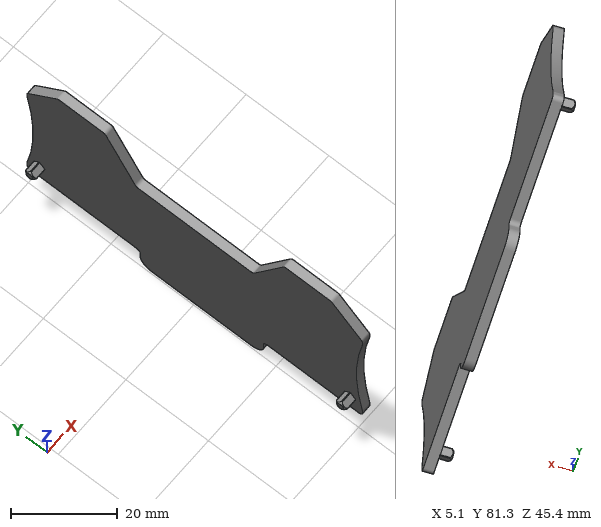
import cadquery as cq

length = 81.3
height = 45.4
thickness = 2.2
half_length = length / 2
corner_radius = 1.0

tab_left_width = 13.25
tab_right_width = 16.7
tab_height = 5.4
tab_corner_radius = 3.0

notch_floor_half_width = 14.15
notch_top_half_width = 21.7
notch_floor_z = 32.3
corner_chamfer = 7.6

waist_depth = 1.5
waist_center_z = 21.95
waist_half_height = 14.55

pin_length = 2.9
pin_side = 2.0
pin_round_diameter = 2.7
pin_tip_chamfer = 0.5
pin_y = 37.65
pin_z = 10.2


def half_plate(tab_width):
    """Half of the plate on the +Y side, with a tab reaching out to tab_width."""
    outline = (
        cq.Workplane("YZ")
        .lineTo(tab_width, 0)
        .lineTo(tab_width, tab_height)
        .lineTo(half_length, tab_height)
        .lineTo(half_length, waist_center_z - waist_half_height)
        .threePointArc(
            (half_length - waist_depth, waist_center_z),
            (half_length, waist_center_z + waist_half_height),
        )
        .lineTo(half_length, height - corner_chamfer)
        .lineTo(half_length - corner_chamfer, height)
        .lineTo(notch_top_half_width, height)
        .lineTo(notch_floor_half_width, notch_floor_z)
        .lineTo(0, notch_floor_z)
        .close()
    )
    plate = outline.extrude(thickness)
    plate = round_corner(plate, tab_width, 0, tab_corner_radius)
    small_corners = [
        (tab_width, tab_height),
        (half_length, tab_height),
        (half_length, height - corner_chamfer),
        (half_length - corner_chamfer, height),
        (notch_top_half_width, height),
        (notch_floor_half_width, notch_floor_z),
    ]
    for y, z in small_corners:
        plate = round_corner(plate, y, z, corner_radius)
    return plate


def round_corner(plate, y, z, radius):
    """Fillet the through-thickness edge at one outline corner."""
    corner = cq.selectors.NearestToPointSelector((thickness / 2, y, z))
    return plate.edges("|X").edges(corner).fillet(radius)


def pin(y):
    """Pin on the -X face: a square bar turned 45 degrees, trimmed by a cone-tipped cylinder."""
    base = cq.Workplane("YZ", origin=(0, y, pin_z))
    square_bar = base.transformed(rotate=(0, 0, 45)).rect(pin_side, pin_side).extrude(-pin_length)
    round_bar = base.circle(pin_round_diameter / 2).extrude(-pin_length)
    round_bar = round_bar.faces("<X").chamfer(pin_tip_chamfer)
    return square_bar.intersect(round_bar)


left_half = half_plate(tab_left_width)
right_half = half_plate(tab_right_width).mirror("XZ")
result = left_half.union(right_half)
for side in (-1, 1):
    result = result.union(pin(side * pin_y))